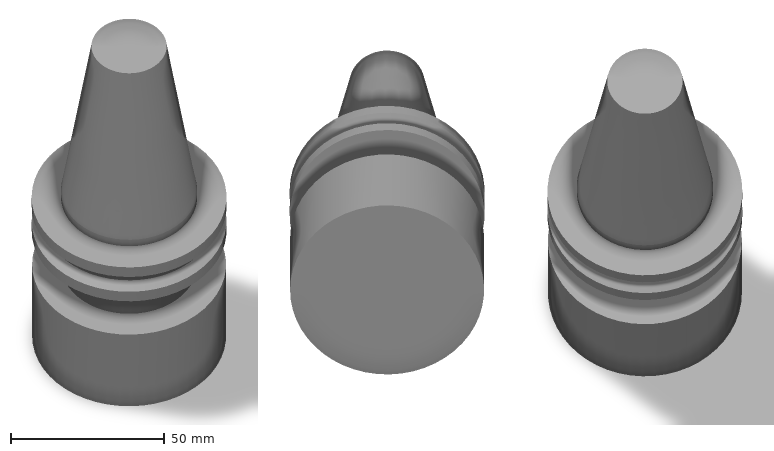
import cadquery as cq

total_length = 137.2
flange_diameter = 63.5
body_diameter = 63.3
shank_diameter = 44.5
groove_diameter = 56.4

body_length = 33.9
neck_length = 15.9
flange_width = 16.0
collar_length = 3.0
lip_width = 4.5
groove_floor_width = 3.7

taper_rate = 7 / 24

flange_bottom = body_length + neck_length
flange_top = flange_bottom + flange_width
taper_bottom = flange_top + collar_length
groove_center = flange_bottom + flange_width / 2

flange_radius = flange_diameter / 2
body_radius = body_diameter / 2
shank_radius = shank_diameter / 2
groove_radius = groove_diameter / 2
tip_radius = shank_radius - taper_rate * (total_length - taper_bottom) / 2

half_section = [
    (0, 0),
    (body_radius, 0),
    (body_radius, body_length),
    (shank_radius, body_length),
    (shank_radius, flange_bottom),
    (flange_radius, flange_bottom),
    (flange_radius, flange_bottom + lip_width),
    (groove_radius, groove_center - groove_floor_width / 2),
    (groove_radius, groove_center + groove_floor_width / 2),
    (flange_radius, flange_top - lip_width),
    (flange_radius, flange_top),
    (shank_radius, flange_top),
    (shank_radius, taper_bottom),
    (tip_radius, total_length),
    (0, total_length),
]

result = cq.Workplane("XZ").polyline(half_section).close().revolve(360, (0, 0), (0, 1))